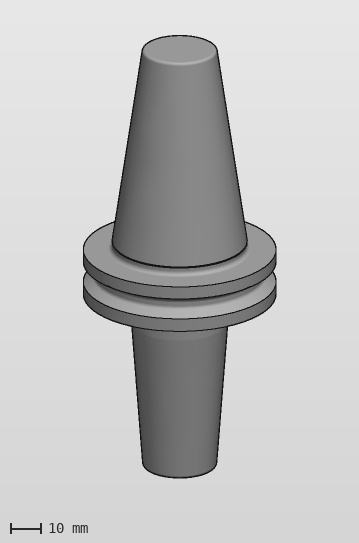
import cadquery as cq

top_z = 68.4
bottom_z = top_z - 148.4

gauge_radius = 22.3
taper_slope = 7 / 48
taper_end_radius = gauge_radius - taper_slope * top_z
top_round = 1.0

flange_radius = 31.8
flange_top_z = -3.1
flange_bottom_z = -19.0
groove_center_z = -11.0
groove_mouth = 7.1
groove_floor = 2.7
groove_floor_radius = 28.0
groove_fillet = 1.0

collar_radius = 22.1
collar_chamfer_height = 0.5
collar_fillet = 1.5

neck_radius = 15.9
neck_bottom_z = -29.1
neck_fillet = 2.1
nose_end_radius = 12.2
nose_round = 1.0


def revolve_profile(points):
    """Revolve a closed (radius, Z) outline about the Z axis."""
    return cq.Workplane("XZ").polyline(points).close().revolve(360, (0, 0), (0, 1))


def make_taper():
    taper = revolve_profile([
        (0, flange_bottom_z),
        (collar_radius, flange_bottom_z),
        (collar_radius, -collar_chamfer_height),
        (gauge_radius, 0),
        (taper_end_radius, top_z),
        (0, top_z),
    ])
    return taper.faces(">Z").edges().fillet(top_round)


def make_flange():
    mouth_half = groove_mouth / 2
    floor_half = groove_floor / 2
    return revolve_profile([
        (0, flange_bottom_z),
        (flange_radius, flange_bottom_z),
        (flange_radius, groove_center_z - mouth_half),
        (groove_floor_radius, groove_center_z - floor_half),
        (groove_floor_radius, groove_center_z + floor_half),
        (flange_radius, groove_center_z + mouth_half),
        (flange_radius, flange_top_z),
        (0, flange_top_z),
    ])


def make_nose():
    nose = revolve_profile([
        (0, bottom_z),
        (nose_end_radius, bottom_z),
        (neck_radius, neck_bottom_z),
        (neck_radius, flange_bottom_z),
        (0, flange_bottom_z),
    ])
    return nose.faces("<Z").edges().fillet(nose_round)


def fillet_circle(solid, radius, z, fillet_radius):
    """Fillet the circular edge of the given radius at height z."""
    margin = 0.07
    selector = cq.selectors.BoxSelector(
        (-radius - margin, -radius - margin, z - margin),
        (radius + margin, radius + margin, z + margin),
        boundingbox=True,
    )
    return solid.edges(selector).fillet(fillet_radius)


body = make_taper().union(make_flange()).union(make_nose())
for side in (-1, 1):
    floor_edge_z = groove_center_z + side * groove_floor / 2
    body = fillet_circle(body, groove_floor_radius, floor_edge_z, groove_fillet)
body = fillet_circle(body, collar_radius, flange_top_z, collar_fillet)
body = fillet_circle(body, neck_radius, flange_bottom_z, neck_fillet)
result = body